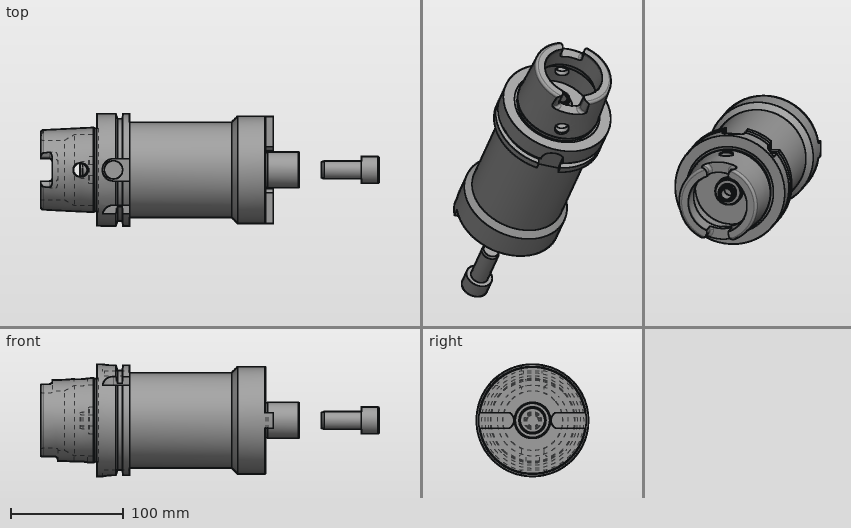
import cadquery as cq
import math


flange_start = 50.0
taper_end = 47.0
taper_large_radius = 75.5 / 2
taper_slope = 0.05
taper_small_radius = taper_large_radius - taper_slope * taper_end
taper_edge_radius = 2.5
relief_radius = 37.0
relief_outer_radius = 39.7
relief_depth = 1.2

flange_radius = 50.0
flange_end = 79.2
gripper_start = 66.8
gripper_end = 73.0
gripper_floor_start = 68.3
gripper_floor_end = 72.5
gripper_floor_radius = 45.5

barrel_radius = 42.5
barrel_end = 169.8
head_start = 175.2
head_radius = 48.0
head_end = 200.0
head_chamfer = 0.5

pilot_radius = 32.2 / 2
pilot_end = 230.0
pilot_relief_radius = 15.7
pilot_relief_width = 1.8
pilot_chamfer = 1.0

bore_mouth_radius = 26.8
bore_lip_radius = 26.5
bore_mouth_depth = 1.5
bore_lip_end = 21.0
undercut_radius = 63.0 / 2
undercut_slope_angle = 30
bore_depth = 50.0

stub_radius = 12.0
stub_start = 42.0
stub_chamfer = 1.0
tube_radius = 7.68
tube_start = 35.0
tube_tip_radius = 7.0
tube_taper_length = 2.5
tube_bore_radius = 4.97
tube_bore_countersink = 1.0

drive_slot_half_width = 10.0
drive_slot_flat_height = 32.2
drive_slot_lip_radius = 4.5
drive_slot_fillet = 2.7
top_drive_slot_depth = 10.2
bottom_drive_slot_depth = 15.0

cross_hole_diameter = 12.0
cross_hole_x = 35.2
cross_hole_countersink = 0.75

keyway_width = 20.0
keyway_centre_x = 64.7
keyway_floor_height = 44.0
chip_hole_diameter = 16.3
chip_hole_depth = 4.5
notch_offset = 31.3

key_width = 13.8
key_height = 7.0
key_root_depth = 1.5
key_inner_tip = 16.5
key_inner_corner = 20.5
key_trim_allowance = 3.0

screw_start = 249.5
screw_end = 301.0
screw_shank_radius = 7.98
screw_head_start = 285.0
screw_head_radius = 12.0
screw_tip_length = 2.5
screw_tip_radius = 7.0
screw_head_chamfer = 1.2


def turned(profile):
    """Revolve a closed profile of X and radius about the X axis."""
    return profile.close().revolve(360, (0, 0, 0), (1, 0, 0))


def opposite(feature):
    """The same feature turned half a turn about the X axis."""
    return feature.rotate((0, 0, 0), (1, 0, 0), 180)


def turned_shank_to_pilot():
    diagonal = taper_edge_radius * math.sqrt(0.5)
    edge_base_radius = taper_small_radius - taper_edge_radius
    profile = (
        cq.Workplane("XY")
        .moveTo(0, 0)
        .lineTo(0, edge_base_radius)
        .threePointArc(
            (taper_edge_radius - diagonal, edge_base_radius + diagonal),
            (taper_edge_radius, taper_small_radius + taper_slope * taper_edge_radius),
        )
        .lineTo(taper_end, taper_large_radius)
        .lineTo(taper_end + relief_depth, relief_radius)
        .lineTo(flange_start + relief_depth, relief_radius)
        .lineTo(flange_start, relief_outer_radius)
        .lineTo(flange_start, flange_radius)
        .lineTo(gripper_start, flange_radius)
        .lineTo(gripper_floor_start, gripper_floor_radius)
        .lineTo(gripper_floor_end, gripper_floor_radius)
        .lineTo(gripper_end, flange_radius)
        .lineTo(flange_end, flange_radius)
        .lineTo(flange_end, barrel_radius)
        .lineTo(barrel_end, barrel_radius)
        .lineTo(head_start, head_radius)
        .lineTo(head_end - head_chamfer, head_radius)
        .lineTo(head_end, head_radius - head_chamfer)
        .lineTo(head_end, pilot_relief_radius)
        .lineTo(head_end + pilot_relief_width, pilot_relief_radius)
        .lineTo(head_end + pilot_relief_width, pilot_radius)
        .lineTo(pilot_end - pilot_chamfer, pilot_radius)
        .lineTo(pilot_end, pilot_radius - pilot_chamfer)
        .lineTo(pilot_end, 0)
    )
    return turned(profile)


def shank_bore():
    """Bore with a slightly flared mouth, a cylindrical lip and a wider clamping chamber behind it."""
    slope_length = (undercut_radius - bore_lip_radius) / math.tan(math.radians(undercut_slope_angle))
    profile = (
        cq.Workplane("XY")
        .moveTo(0, 0)
        .lineTo(0, bore_mouth_radius)
        .lineTo(bore_mouth_depth, bore_lip_radius)
        .lineTo(bore_lip_end, bore_lip_radius)
        .lineTo(bore_lip_end + slope_length, undercut_radius)
        .lineTo(bore_depth, undercut_radius)
        .lineTo(bore_depth, 0)
    )
    return turned(profile)


def coolant_stub():
    profile = (
        cq.Workplane("XY")
        .moveTo(bore_depth, tube_bore_radius)
        .lineTo(tube_start + tube_bore_countersink, tube_bore_radius)
        .lineTo(tube_start, tube_bore_radius + tube_bore_countersink)
        .lineTo(tube_start, tube_tip_radius)
        .lineTo(tube_start + tube_taper_length, tube_radius)
        .lineTo(stub_start, tube_radius)
        .lineTo(stub_start, stub_radius - stub_chamfer)
        .lineTo(stub_start + stub_chamfer, stub_radius)
        .lineTo(bore_depth, stub_radius)
    )
    return turned(profile)


def cross_hole():
    """Half of the cross hole, from the axis out through the +Z wall, with a 45 degree countersink."""
    radius = cross_hole_diameter / 2
    surface_radius = taper_small_radius + taper_slope * cross_hole_x
    cone_start = surface_radius - cross_hole_countersink
    cone_height = radius
    profile = (
        cq.Workplane("XZ", origin=(cross_hole_x, 0, 0))
        .lineTo(radius, 0)
        .lineTo(radius, cone_start)
        .lineTo(radius + cone_height, cone_start + cone_height)
        .lineTo(0, cone_start + cone_height)
        .close()
    )
    return profile.revolve(360, (0, 0, 0), (0, 1, 0))


def drive_slot(depth):
    """Slot on the +Z side: a narrow throat whose rounded lips open onto a flat."""
    inner_height = bore_mouth_radius / 2
    outer_height = flange_radius
    reach = flange_radius
    throat_top = drive_slot_flat_height - drive_slot_lip_radius
    lip_end = drive_slot_half_width + drive_slot_lip_radius
    lip_shift = drive_slot_lip_radius * (1 - math.sqrt(0.5))
    lip_middle = (drive_slot_half_width + lip_shift, drive_slot_flat_height - lip_shift)
    slot = (
        cq.Workplane("YZ")
        .moveTo(-drive_slot_half_width, inner_height)
        .lineTo(drive_slot_half_width, inner_height)
        .lineTo(drive_slot_half_width, throat_top)
        .threePointArc(lip_middle, (lip_end, drive_slot_flat_height))
        .lineTo(reach, drive_slot_flat_height)
        .lineTo(reach, outer_height)
        .lineTo(-reach, outer_height)
        .lineTo(-reach, drive_slot_flat_height)
        .lineTo(-lip_end, drive_slot_flat_height)
        .threePointArc((-lip_middle[0], lip_middle[1]), (-drive_slot_half_width, throat_top))
        .close()
        .extrude(depth)
    )
    return slot.faces(">X").edges().fillet(drive_slot_fillet)


def flange_slot(centre_y, floor_height):
    """Slot sunk from +Z with a round end, open at the barrel side of the flange."""
    height = flange_radius - floor_height
    length = flange_end - keyway_centre_x
    base = cq.Workplane("XY", origin=(keyway_centre_x, centre_y, floor_height))
    round_end = base.circle(keyway_width / 2).extrude(height)
    straight = base.rect(length, keyway_width, centered=(False, True)).extrude(height)
    return round_end.union(straight)


def chip_hole():
    """Blind hole in the floor of the +Z keyway."""
    base = cq.Workplane("XY", origin=(keyway_centre_x, 0, keyway_floor_height - chip_hole_depth))
    return base.circle(chip_hole_diameter / 2).extrude(chip_hole_depth)


def drive_keys():
    """Two opposite keys on the head face, with rounded inner ends and flush with the head outside."""
    half = key_width / 2
    outer_reach = head_radius + key_trim_allowance
    key = (
        cq.Workplane("YZ", origin=(head_end - key_root_depth, 0, 0))
        .moveTo(key_inner_corner, half)
        .threePointArc((key_inner_tip, 0), (key_inner_corner, -half))
        .lineTo(outer_reach, -half)
        .lineTo(outer_reach, half)
        .close()
        .extrude(key_root_depth + key_height)
    )
    envelope = cq.Workplane("YZ").circle(head_radius).extrude(pilot_end)
    return key.union(opposite(key)).intersect(envelope)


def make_holder():
    holder = turned_shank_to_pilot().cut(shank_bore())
    holder = holder.cut(drive_slot(top_drive_slot_depth))
    holder = holder.cut(opposite(drive_slot(bottom_drive_slot_depth)))
    holder = holder.cut(cross_hole()).cut(opposite(cross_hole()))
    holder = holder.union(coolant_stub())

    keyway = flange_slot(0, keyway_floor_height)
    holder = holder.cut(keyway).cut(opposite(keyway)).cut(chip_hole())
    holder = holder.cut(flange_slot(-notch_offset - keyway_width / 2, notch_offset))

    return holder.union(drive_keys())


def make_screw():
    profile = (
        cq.Workplane("XY")
        .moveTo(screw_start, 0)
        .lineTo(screw_start, screw_tip_radius)
        .lineTo(screw_start + screw_tip_length, screw_shank_radius)
        .lineTo(screw_head_start, screw_shank_radius)
        .lineTo(screw_head_start, screw_head_radius)
        .lineTo(screw_end - screw_head_chamfer, screw_head_radius)
        .lineTo(screw_end, screw_head_radius - screw_head_chamfer)
        .lineTo(screw_end, 0)
    )
    return turned(profile)


holder = make_holder()
screw = make_screw()

result = cq.Compound.makeCompound([holder.val(), screw.val()])